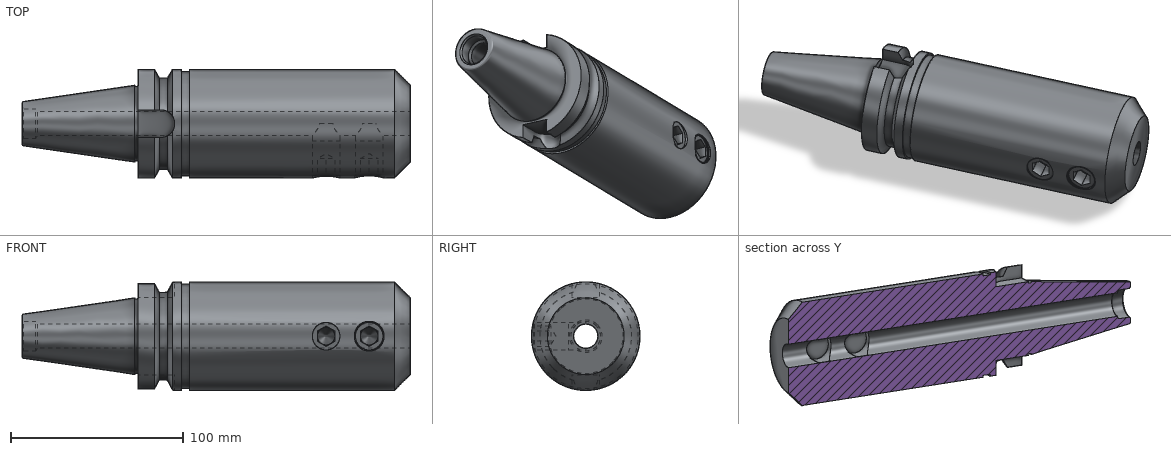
import cadquery as cq
import math


total_length = 225.5
taper_length = 65.4
flange_start = 67.5
flange_end = 92.5
neck_end = 97.1
shank_round = 1.1
nose_chamfer = 9.2

body_radius = 31.5
neck_radius = 30.5
taper_end_radius = 22.3
taper_ratio = 7 / 24
taper_start_radius = taper_end_radius - taper_length * taper_ratio / 2
relief_fillet = 0.7
relief_radius = taper_end_radius - relief_fillet

groove_center = 82.0
groove_floor_width = 4.7
groove_radius = 26.5
groove_wall_angle = 30.0
groove_top_width = groove_floor_width + 2 * (body_radius - groove_radius) * math.tan(
    math.radians(groove_wall_angle)
)

through_radius = 7.0
pull_stud_radius = 8.5
pull_stud_depth = 8.8
pull_stud_mouth_chamfer = 1.0

drill_tip_angle = 120.0

slot_width = 16.0
slot_end = 88.5
slot_floor = 22.5

screw_diameter = 16.0
screw_radius = screw_diameter / 2
screw_face = 30.2
screw_length = 20.0
screw_pitch = 25.0
outer_screw_end_distance = 24.0
outer_screw_x = total_length - outer_screw_end_distance
inner_screw_x = outer_screw_x - screw_pitch
socket_sides = 6
socket_flats = 10.1
socket_depth = 10.0
countersink = 0.7
countersink_base = 29.8


def revolve_about_x(outline):
    return outline.close().revolve(360, (0, 0, 0), (1, 0, 0))


def cone_length(radius_change):
    """Axial length over which a drill-tip cone changes its radius by this much."""
    return radius_change / math.tan(math.radians(drill_tip_angle / 2))


def radial_cylinder(x, radius, inner, outer):
    """A cylinder along -Y at x, from one distance to another from the axis."""
    return cq.Workplane("XZ", origin=(x, -inner, 0)).circle(radius).extrude(outer - inner)


def holder_blank():
    round_top = taper_start_radius + shank_round * taper_ratio / 2
    outline = (
        cq.Workplane("XY")
        .lineTo(0, round_top - shank_round)
        .radiusArc((shank_round, round_top), shank_round)
        .lineTo(taper_length, taper_end_radius)
        .radiusArc((taper_length + relief_fillet, relief_radius), -relief_fillet)
        .lineTo(flange_start - relief_fillet, relief_radius)
        .radiusArc((flange_start, taper_end_radius), -relief_fillet)
        .lineTo(flange_start, body_radius)
        .lineTo(groove_center - groove_top_width / 2, body_radius)
        .lineTo(groove_center - groove_floor_width / 2, groove_radius)
        .lineTo(groove_center + groove_floor_width / 2, groove_radius)
        .lineTo(groove_center + groove_top_width / 2, body_radius)
        .lineTo(flange_end, body_radius)
        .lineTo(flange_end, neck_radius)
        .lineTo(neck_end, neck_radius)
        .lineTo(neck_end, body_radius)
        .lineTo(total_length - nose_chamfer, body_radius)
        .lineTo(total_length, body_radius - nose_chamfer)
        .lineTo(total_length, 0)
    )
    return revolve_about_x(outline)


def axial_bore():
    step_length = cone_length(pull_stud_radius - through_radius)
    outline = (
        cq.Workplane("XY")
        .lineTo(0, pull_stud_radius + pull_stud_mouth_chamfer)
        .lineTo(pull_stud_mouth_chamfer, pull_stud_radius)
        .lineTo(pull_stud_depth - step_length, pull_stud_radius)
        .lineTo(pull_stud_depth, through_radius)
        .lineTo(total_length, through_radius)
        .lineTo(total_length, 0)
    )
    return revolve_about_x(outline)


def drive_slot(side):
    """A slot with a round end, open toward the taper; side is +1 for +Z and -1 for -Z."""
    arc_center = slot_end - slot_width / 2
    return (
        cq.Workplane("XY", origin=(0, 0, side * slot_floor))
        .moveTo(flange_start, -slot_width / 2)
        .lineTo(arc_center, -slot_width / 2)
        .threePointArc((slot_end, 0), (arc_center, slot_width / 2))
        .lineTo(flange_start, slot_width / 2)
        .close()
        .extrude(side * (body_radius - slot_floor))
    )


def screw_countersink(x):
    """A short cone that widens the hole toward the surface, then runs out straight."""
    return (
        cq.Workplane("XY", origin=(x, 0, 0))
        .moveTo(0, -countersink_base)
        .lineTo(screw_radius, -countersink_base)
        .lineTo(screw_radius + countersink, -countersink_base - countersink)
        .lineTo(screw_radius + countersink, -body_radius)
        .lineTo(0, -body_radius)
        .close()
        .revolve(360, (0, 0, 0), (0, 1, 0))
    )


def make_holder():
    holder = holder_blank().cut(axial_bore())
    for side in (1, -1):
        holder = holder.cut(drive_slot(side))
    for x in (inner_screw_x, outer_screw_x):
        holder = holder.cut(radial_cylinder(x, screw_radius, 0, body_radius))
    return holder.cut(screw_countersink(outer_screw_x))


def make_set_screw(x):
    """A set screw with a hexagon socket that ends in a drill cone."""
    hexagon_corners = socket_flats / math.cos(math.pi / socket_sides)
    socket_floor = screw_face - socket_depth
    cone_radius = socket_flats / 2
    cone_height = cone_length(cone_radius)
    socket = (
        cq.Workplane("XZ", origin=(x, -socket_floor, 0))
        .transformed(rotate=(0, 0, 90))
        .polygon(socket_sides, hexagon_corners)
        .extrude(socket_depth)
    )
    tip = cq.Workplane(
        cq.Solid.makeCone(cone_radius, 0, cone_height, pnt=(x, -socket_floor, 0), dir=(0, 1, 0))
    )
    blank = radial_cylinder(x, screw_radius, screw_face - screw_length, screw_face)
    return blank.cut(socket).cut(tip)


holder = make_holder()
set_screws = [make_set_screw(x) for x in (inner_screw_x, outer_screw_x)]
result = cq.Compound.makeCompound([holder.val(), *[screw.val() for screw in set_screws]])